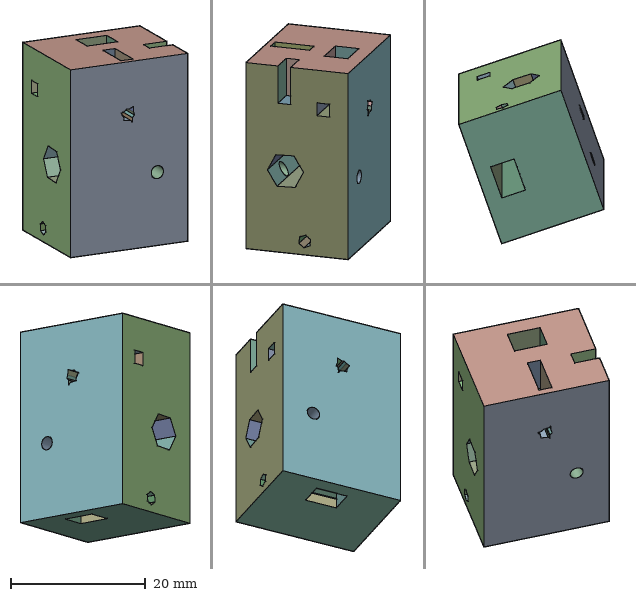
import cadquery as cq

LENGTH_X = 16.05
LENGTH_Y = 19.38
HEIGHT = 29.05

NARROW = 2.0

SHAFT_X = 3.7
SHAFT_Y = 5.05
SHAFT_CENTER = (-3.83, 0.52)

SLOT_DEPTH = 5.8
SLOT_LEFT = 1.0
INNER_SLOT_LENGTH = 6.07
INNER_SLOT_Y = 0.12
BACK_SLOT_LENGTH = 3.85

SQUARE_CENTER = (-4.13, 22.95)
LARGE_HEX_CENTER = (1.8, 12.78)
LARGE_HEX_DIAMETER = 5.66
LARGE_HEX_TURN = -2.3
SMALL_HEX_CENTER = (-1.22, 2.12)
SMALL_HEX_TURN = 37.0

ROUND_CENTER = (4.65, 11.35)
STAR_CENTER = (-0.1, 20.8)
STAR_CORNERS = [
    (0.75, 1.22),
    (0.05, 0.9),
    (-0.32, 0.95),
    (-0.67, 0.67),
    (-1.22, 0.4),
    (-0.85, -0.12),
    (-0.75, -0.73),
    (0.32, -0.85),
    (0.65, -1.2),
    (0.6, -0.46),
    (0.95, -0.12),
    (0.8, 0.35),
]


def along_x():
    """Sketch plane on the -X face, with local axes (Y, Z) and normal +X."""
    return cq.Workplane("YZ", origin=(-LENGTH_X / 2, 0, 0))


def along_y():
    """Sketch plane on the -Y face, with local axes (X, Z) and normal -Y."""
    return cq.Workplane("XZ", origin=(0, -LENGTH_Y / 2, 0))


def top_slot(left, front, length_x, length_y):
    """Blind rectangular pocket open at the top face."""
    return (
        cq.Workplane("XY", origin=(left, front, HEIGHT - SLOT_DEPTH))
        .rect(length_x, length_y, centered=False)
        .extrude(SLOT_DEPTH)
    )


def hexagon_hole(center, corner_diameter, turn):
    """Hexagonal prism along Y, turned about its own axis."""
    return (
        along_y()
        .center(*center)
        .transformed(rotate=(0, 0, turn))
        .polygon(6, corner_diameter)
        .extrude(-LENGTH_Y)
    )


block = cq.Workplane("XY").box(LENGTH_X, LENGTH_Y, HEIGHT, centered=(True, True, False))

shaft = cq.Workplane("XY").center(*SHAFT_CENTER).rect(SHAFT_X, SHAFT_Y).extrude(HEIGHT)
inner_slot = top_slot(SLOT_LEFT, INNER_SLOT_Y - NARROW / 2, INNER_SLOT_LENGTH, NARROW)
back_slot = top_slot(SLOT_LEFT, LENGTH_Y / 2 - BACK_SLOT_LENGTH, NARROW, BACK_SLOT_LENGTH)

square_hole = along_y().center(*SQUARE_CENTER).rect(NARROW, NARROW).extrude(-LENGTH_Y)
large_hexagon = hexagon_hole(LARGE_HEX_CENTER, LARGE_HEX_DIAMETER, LARGE_HEX_TURN)
small_hexagon = hexagon_hole(SMALL_HEX_CENTER, NARROW, SMALL_HEX_TURN)

round_hole = along_x().center(*ROUND_CENTER).circle(NARROW / 2).extrude(LENGTH_X)
star_hole = along_x().center(*STAR_CENTER).polyline(STAR_CORNERS).close().extrude(LENGTH_X)

result = block
for cutter in (
    shaft,
    inner_slot,
    back_slot,
    square_hole,
    large_hexagon,
    small_hexagon,
    round_hole,
    star_hole,
):
    result = result.cut(cutter)